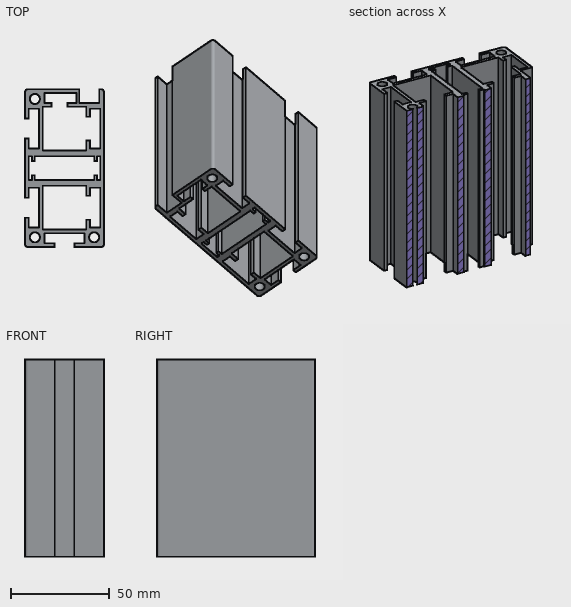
import cadquery as cq

WIDTH = 40.0
DEPTH = 80.0
LENGTH = 100.0
CORNER_RADIUS = 1.5
WALL = 2.0

HALF_WIDTH = WIDTH / 2
HALF_DEPTH = DEPTH / 2
CELL_CENTER = DEPTH / 4

HOLE_DIAMETER = 5.0
HOLE_INSET = 5.0

POCKET_WIDTH = 20.0
MOUTH_WIDTH = 10.0
GROOVE_DEPTH = 7.0

CHAMBER = 22.0
INNER_MOUTH_WIDTH = 12.0

MIDDLE_HEIGHT = 12.0
FIN_WIDTH = 1.5
FIN_LENGTH = 2.5
FIN_GAP = 1.5

TOP_POCKET_RIGHT = 6.0
TOP_MOUTH_LEFT = -6.5
TOP_MOUTH_RIGHT = 1.5
NOTCH_WALL = 1.5
NOTCH_RIM = 2.5


def prism(x_min, x_max, y_min, y_max):
    """Full-length box between the given X and Y limits."""
    return (
        cq.Workplane("XY")
        .center((x_min + x_max) / 2, (y_min + y_max) / 2)
        .rect(x_max - x_min, y_max - y_min)
        .extrude(LENGTH)
    )


def body_blank():
    """Solid bar with rounded long edges."""
    bar = cq.Workplane("XY").rect(WIDTH, DEPTH).extrude(LENGTH)
    return bar.edges("|Z").fillet(CORNER_RADIUS)


def corner_holes():
    """Through holes in every corner except the notched +X +Y one."""
    x = HALF_WIDTH - HOLE_INSET
    y = HALF_DEPTH - HOLE_INSET
    return (
        cq.Workplane("XY")
        .pushPoints([(-x, y), (-x, -y), (x, -y)])
        .circle(HOLE_DIAMETER / 2)
        .extrude(LENGTH)
    )


def left_groove(center_y):
    """Groove open to the -X face."""
    pocket = prism(
        -HALF_WIDTH + WALL, -HALF_WIDTH + GROOVE_DEPTH,
        center_y - POCKET_WIDTH / 2, center_y + POCKET_WIDTH / 2,
    )
    mouth = prism(
        -HALF_WIDTH, -HALF_WIDTH + WALL,
        center_y - MOUTH_WIDTH / 2, center_y + MOUTH_WIDTH / 2,
    )
    return pocket.union(mouth)


def bottom_groove():
    """Groove open to the -Y face."""
    pocket = prism(
        -POCKET_WIDTH / 2, POCKET_WIDTH / 2,
        -HALF_DEPTH + WALL, -HALF_DEPTH + GROOVE_DEPTH,
    )
    mouth = prism(-MOUTH_WIDTH / 2, MOUTH_WIDTH / 2, -HALF_DEPTH, -HALF_DEPTH + WALL)
    return pocket.union(mouth)


def square_chamber(center_y):
    """Square chamber joined to an inward-facing groove along the +X wall."""
    half = CHAMBER / 2
    groove_floor = HALF_WIDTH - WALL
    groove_lip = HALF_WIDTH - GROOVE_DEPTH
    chamber = prism(-half, half, center_y - half, center_y + half)
    mouth = prism(
        half, groove_lip,
        center_y - INNER_MOUTH_WIDTH / 2, center_y + INNER_MOUTH_WIDTH / 2,
    )
    pocket = prism(
        groove_lip, groove_floor,
        center_y - POCKET_WIDTH / 2, center_y + POCKET_WIDTH / 2,
    )
    return chamber.union(mouth).union(pocket)


def middle_chamber():
    """Wide central chamber, less the fins standing on its long walls."""
    half_x = HALF_WIDTH - WALL
    half_y = MIDDLE_HEIGHT / 2
    chamber = prism(-half_x, half_x, -half_y, half_y)
    fin_x = half_x - FIN_GAP - FIN_WIDTH / 2
    fin_y = half_y - FIN_LENGTH / 2
    fins = (
        cq.Workplane("XY")
        .rect(2 * fin_x, 2 * fin_y, forConstruction=True)
        .vertices()
        .rect(FIN_WIDTH, FIN_LENGTH)
        .extrude(LENGTH)
    )
    return chamber.cut(fins)


def top_pocket():
    """Pocket under the +Y face whose mouth opens into the upper chamber."""
    floor_y = HALF_DEPTH - GROOVE_DEPTH
    pocket = prism(-POCKET_WIDTH / 2, TOP_POCKET_RIGHT, floor_y, HALF_DEPTH - WALL)
    mouth = prism(TOP_MOUTH_LEFT, TOP_MOUTH_RIGHT, floor_y - WALL, floor_y)
    return pocket.union(mouth)


def top_notch():
    """Open channel in the +Y face next to the +X edge."""
    return prism(
        TOP_POCKET_RIGHT + NOTCH_WALL, HALF_WIDTH - NOTCH_RIM,
        HALF_DEPTH - GROOVE_DEPTH, HALF_DEPTH,
    )


result = body_blank().cut(corner_holes())
for cell_y in (-CELL_CENTER, CELL_CENTER):
    result = result.cut(left_groove(cell_y))
    result = result.cut(square_chamber(cell_y))
result = result.cut(bottom_groove())
result = result.cut(middle_chamber())
result = result.cut(top_pocket())
result = result.cut(top_notch())